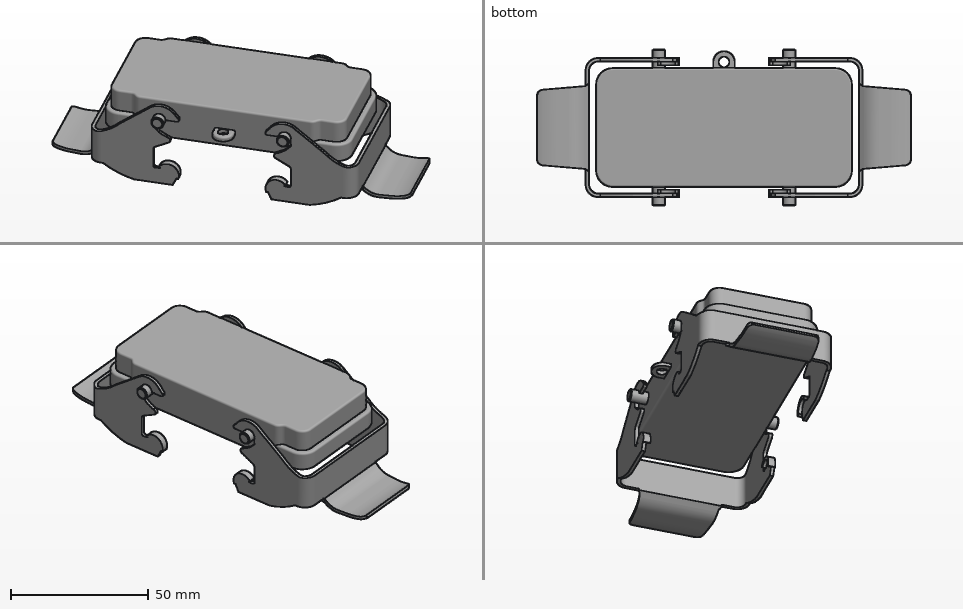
import cadquery as cq
import math

RIM_LENGTH = 93.2
COVER_WIDTH = 43.3
RIM_BOTTOM = 17.5
RIM_TOP = 24.8
RIM_CORNER = 6.1
LEDGE = 2.0
BODY_TOP = 33.3
BODY_BOTTOM = 23.0
RELIEF_OUTER_X = 33.3
RELIEF_INNER_X = RELIEF_OUTER_X + LEDGE
RELIEF_OUTER_BLEND = 2.6
RELIEF_INNER_BLEND = 1.8
EDGE_ROUND = 0.8

LUG_Y = -23.9
LUG_RADIUS = 4.0
LUG_HOLE_RADIUS = 1.9

PIN_X = 23.7
PIN_Z = 27.1
PIN_RADIUS = 2.3
PIN_SPAN = 57.0
PIN_CHAMFER = 0.4

CLIP_END_X = 50.4
CLIP_WIDTH = 50.7
SHEET = 1.4
BEND_RADIUS = 4.6
BAND_BOTTOM = 5.0
BAND_TOP = 18.0
JAW_X = PIN_X + PIN_RADIUS
NOSE_X = 16.4
TOP_HOOK_HEIGHT = 32.7

LIP_X = 20.6
LIP_Z = 4.4
LIP_RADIUS = LIP_X - NOSE_X
LIP_WALL = 1.2
LIP_DEPTH = 2.7
LIP_START_ANGLE = 145
LIP_END_ANGLE = -23

TONGUE_SHEET = 1.2
TONGUE_TIP_X = 68.2
TONGUE_TIP_RADIUS = 19.8
TONGUE_FLAT_OUTER_X = 60.9
TONGUE_FLAT_INNER_X = 56.4
TONGUE_ROOT_RADIUS = 8.5
TONGUE_ROOT_ANGLE = 40
TONGUE_BOTTOM = 0.8
TONGUE_ROOT_HALF = 15.1
TONGUE_TIP_HALF = 13.6
TONGUE_CORNER = 2.5
NECK_HALF = 16.1


def make_rim():
    rim = (
        cq.Workplane("XY", origin=(0, 0, RIM_BOTTOM))
        .rect(RIM_LENGTH, COVER_WIDTH)
        .extrude(RIM_TOP - RIM_BOTTOM)
        .edges("|Z").fillet(RIM_CORNER)
    )
    return rim.faces("<Z or >Z").edges().fillet(EDGE_ROUND)


def round_upright_edges(solid, places, radius):
    """Fillet the vertical edges at the given places and their mirror images in Y."""
    for x, y in places:
        for side_y in (-y, y):
            edge = cq.selectors.NearestToPointSelector((x, side_y, (BODY_BOTTOM + BODY_TOP) / 2))
            solid = solid.edges("|Z").edges(edge).fillet(radius)
    return solid


def make_body():
    half_length = RIM_LENGTH / 2 - LEDGE
    half_wide = COVER_WIDTH / 2
    half_narrow = half_wide - LEDGE
    quarter = [
        (RELIEF_OUTER_X, half_wide),
        (RELIEF_INNER_X, half_narrow),
        (half_length, half_narrow),
    ]
    lower_right = [(x, -y) for x, y in reversed(quarter)]
    right = quarter + lower_right
    left = [(-x, -y) for x, y in right]
    body = (
        cq.Workplane("XY", origin=(0, 0, BODY_BOTTOM))
        .polyline(right + left).close()
        .extrude(BODY_TOP - BODY_BOTTOM)
    )
    body = body.edges("|Z and (<X or >X)").fillet(RIM_CORNER - LEDGE)
    outer_steps = [(RELIEF_OUTER_X, half_wide), (-RELIEF_OUTER_X, half_wide)]
    inner_steps = [(RELIEF_INNER_X, half_narrow), (-RELIEF_INNER_X, half_narrow)]
    body = round_upright_edges(body, outer_steps, RELIEF_OUTER_BLEND)
    body = round_upright_edges(body, inner_steps, RELIEF_INNER_BLEND)
    return body.faces(">Z").edges().fillet(EDGE_ROUND)


def make_lug():
    height = RIM_TOP - BODY_BOTTOM
    wall_y = -COVER_WIDTH / 2 + EDGE_ROUND
    lug = (
        cq.Workplane("XY", origin=(0, 0, BODY_BOTTOM))
        .moveTo(-LUG_RADIUS, wall_y)
        .lineTo(-LUG_RADIUS, LUG_Y)
        .threePointArc((0, LUG_Y - LUG_RADIUS), (LUG_RADIUS, LUG_Y))
        .lineTo(LUG_RADIUS, wall_y)
        .close()
        .extrude(height)
        .faces(">Z").edges("not(>Y)").fillet(EDGE_ROUND)
    )
    hole = (
        cq.Workplane("XY", origin=(0, LUG_Y, BODY_BOTTOM))
        .circle(LUG_HOLE_RADIUS).extrude(height)
    )
    return lug.cut(hole)


def make_pin(x):
    return (
        cq.Workplane("XZ", origin=(x, PIN_SPAN / 2, PIN_Z))
        .circle(PIN_RADIUS).extrude(PIN_SPAN)
        .faces("<Y or >Y").chamfer(PIN_CHAMFER)
    )


def make_bent_sheet():
    """U-shaped strip in plan, open towards +X, of the full clip height."""
    length = CLIP_END_X - NOSE_X

    def block(offset, radius):
        return (
            cq.Workplane("XY")
            .center(-CLIP_END_X + offset + length / 2, 0)
            .rect(length, CLIP_WIDTH - 2 * offset)
            .extrude(TOP_HOOK_HEIGHT + SHEET)
            .edges("|Z and <X").fillet(radius)
        )

    return block(0, BEND_RADIUS).cut(block(SHEET, BEND_RADIUS - SHEET))


def lip_point(radius, angle):
    """Point around the lip centre, with the angle in degrees up from +X."""
    turn = math.radians(angle)
    return (-LIP_X + radius * math.cos(turn), LIP_Z + radius * math.sin(turn))


def make_clip_outline():
    """Side outline of the left clip, extruded across its full width."""
    band_top_end = (-47.5, BAND_TOP)
    slope_blend = (-43.3, 19.5)
    slope_start = (-39.0, 22.6)
    slope_end = (-27.8, 31.1)

    hook_crown = (-22.9, TOP_HOOK_HEIGHT)
    hook_back = (-18.4, 30.5)
    hook_tip_top = (-16.6, 28.5)
    hook_tip = (-NOSE_X, 27.7)
    hook_tip_bottom = (-17.2, PIN_Z)
    seat_right = (-PIN_X + PIN_RADIUS, PIN_Z)
    seat_top = (-PIN_X, PIN_Z + PIN_RADIUS)
    seat_left = (-JAW_X, PIN_Z)

    nose_start = (-JAW_X, 23.9)
    nose_bend = (-23.6, 21.4)
    nose_top = (-20.7, 19.9)
    nose_tip = (-19.6, 18.7)
    nose_bottom = (-20.3, 17.7)
    nose_end = (-25.1, 15.3)
    jaw_top_round = (-25.8, 14.7)
    jaw_top = (-JAW_X, 14.0)

    jaw_bottom = (-JAW_X, 7.1)
    jaw_bottom_round = (-25.8, 6.5)
    jaw_floor = (-25.2, 6.3)
    plate_radius = LIP_RADIUS - LIP_WALL / 2
    lip_start = lip_point(plate_radius, LIP_START_ANGLE)
    lip_top = lip_point(plate_radius, 90)
    lip_end = lip_point(plate_radius, LIP_END_ANGLE)

    foot_inner = (-18.7, 0)
    foot_outer = (-33.1, 0)
    heel_middle = (-39.3, 1.9)
    heel_end = (-45.0, BAND_BOTTOM)

    return (
        cq.Workplane("XZ", origin=(0, CLIP_WIDTH / 2, 0))
        .moveTo(-CLIP_END_X, BAND_BOTTOM)
        .lineTo(-CLIP_END_X, BAND_TOP)
        .lineTo(*band_top_end)
        .threePointArc(slope_blend, slope_start)
        .lineTo(*slope_end)
        .threePointArc(hook_crown, hook_back)
        .lineTo(*hook_tip_top)
        .threePointArc(hook_tip, hook_tip_bottom)
        .lineTo(*seat_right)
        .threePointArc(seat_top, seat_left)
        .lineTo(*nose_start)
        .lineTo(*nose_bend)
        .lineTo(*nose_top)
        .threePointArc(nose_tip, nose_bottom)
        .lineTo(*nose_end)
        .threePointArc(jaw_top_round, jaw_top)
        .lineTo(*jaw_bottom)
        .threePointArc(jaw_bottom_round, jaw_floor)
        .lineTo(*lip_start)
        .threePointArc(lip_top, lip_end)
        .lineTo(*foot_inner)
        .lineTo(*foot_outer)
        .threePointArc(heel_middle, heel_end)
        .close()
        .extrude(CLIP_WIDTH)
    )


def make_lips():
    inner = LIP_RADIUS - LIP_WALL
    middle_angle = (LIP_START_ANGLE + LIP_END_ANGLE) / 2
    lip = (
        cq.Workplane("XZ", origin=(0, CLIP_WIDTH / 2, 0))
        .moveTo(*lip_point(LIP_RADIUS, LIP_START_ANGLE))
        .threePointArc(lip_point(LIP_RADIUS, middle_angle), lip_point(LIP_RADIUS, LIP_END_ANGLE))
        .lineTo(*lip_point(inner, LIP_END_ANGLE))
        .threePointArc(lip_point(inner, middle_angle), lip_point(inner, LIP_START_ANGLE))
        .close()
        .extrude(LIP_DEPTH)
    )
    return lip.union(lip.mirror("XZ"))


def make_tongue():
    """Curved sheet tongue below the band, tapering to a rounded tip."""
    bottom = TONGUE_BOTTOM
    top = bottom + TONGUE_SHEET
    tip_angle = math.asin((TONGUE_TIP_X - TONGUE_FLAT_OUTER_X) / TONGUE_TIP_RADIUS)

    def on_tip_arc(radius, angle):
        z = bottom + TONGUE_TIP_RADIUS - radius * math.cos(angle)
        return (-TONGUE_FLAT_OUTER_X - radius * math.sin(angle), z)

    def on_root_arc(radius, angle):
        z = bottom + TONGUE_ROOT_RADIUS - radius * math.cos(angle)
        return (-TONGUE_FLAT_INNER_X + radius * math.sin(angle), z)

    root_angle = math.radians(TONGUE_ROOT_ANGLE)
    tip_inner = TONGUE_TIP_RADIUS - TONGUE_SHEET
    root_inner = TONGUE_ROOT_RADIUS - TONGUE_SHEET

    def on_root_slope(radius, x):
        start_x, start_z = on_root_arc(radius, root_angle)
        return (x, start_z + (x - start_x) * math.tan(root_angle))

    outer_joint = on_root_slope(TONGUE_ROOT_RADIUS, -CLIP_END_X + SHEET)
    inner_joint = on_root_slope(root_inner, -CLIP_END_X)
    strip = (
        cq.Workplane("XZ", origin=(0, NECK_HALF, 0))
        .moveTo(*on_tip_arc(TONGUE_TIP_RADIUS, tip_angle))
        .threePointArc(on_tip_arc(TONGUE_TIP_RADIUS, tip_angle / 2), (-TONGUE_FLAT_OUTER_X, bottom))
        .lineTo(-TONGUE_FLAT_INNER_X, bottom)
        .threePointArc(
            on_root_arc(TONGUE_ROOT_RADIUS, root_angle / 2),
            on_root_arc(TONGUE_ROOT_RADIUS, root_angle),
        )
        .lineTo(*outer_joint)
        .lineTo(-CLIP_END_X + SHEET, BAND_BOTTOM + SHEET)
        .lineTo(-CLIP_END_X, BAND_BOTTOM + SHEET)
        .lineTo(*inner_joint)
        .lineTo(*on_root_arc(root_inner, root_angle))
        .threePointArc(on_root_arc(root_inner, root_angle / 2), (-TONGUE_FLAT_INNER_X, top))
        .lineTo(-TONGUE_FLAT_OUTER_X, top)
        .threePointArc(on_tip_arc(tip_inner, tip_angle / 2), on_tip_arc(tip_inner, tip_angle))
        .close()
        .extrude(2 * NECK_HALF)
    )
    plan = (
        cq.Workplane("XY")
        .polyline([
            (-TONGUE_TIP_X, -TONGUE_TIP_HALF),
            (-CLIP_END_X, -TONGUE_ROOT_HALF),
            (-CLIP_END_X + SHEET, -NECK_HALF),
            (-CLIP_END_X + SHEET, NECK_HALF),
            (-CLIP_END_X, TONGUE_ROOT_HALF),
            (-TONGUE_TIP_X, TONGUE_TIP_HALF),
        ])
        .close()
        .extrude(BAND_TOP)
        .edges("|Z and <X").fillet(TONGUE_CORNER)
    )
    return strip.intersect(plan)


def make_left_clip():
    sheet = make_bent_sheet().intersect(make_clip_outline())
    return sheet.union(make_lips()).union(make_tongue())


left_clip = make_left_clip()
result = (
    make_rim()
    .union(make_body())
    .union(make_lug())
    .union(make_pin(-PIN_X))
    .union(make_pin(PIN_X))
    .union(left_clip)
    .union(left_clip.mirror("YZ"))
)